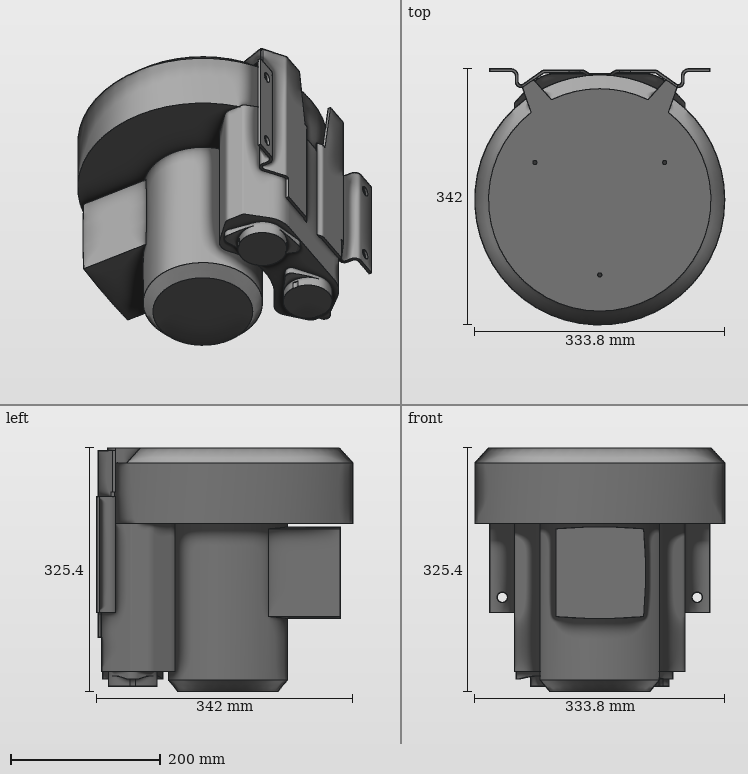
import cadquery as cq
import math


drum_radius = 166.9
drum_height = 101.0
drum_bevel_height = 20.0
drum_bevel_width = 18.5
drum_top_radius = drum_radius - drum_bevel_width
screw_hole_diameter = 5.5
screw_hole_depth = 10.0
screw_circle_radius = 100.0
screw_count = 3

total_height = 325.4
motor_radius = 79.6
motor_bevel_height = 15.7
motor_bevel_width = 13.0

box_size = 117.0
box_bulge = 2.6
box_front_y = -150.0
box_center_z = -166.6

housing_bottom_z = -298.6
housing_half_width = 114.0
port_x = 60.0
port_y = 127.0
housing_back_y = 168.4
back_corner_radius = housing_back_y - port_y
side_back_round = 5.0
side_front_round = 12.0
lobe_x = 72.4
lobe_y = 89.7
lobe_radius = 19.0
front_wall_turn = math.radians(47.6)
back_wall_turn = math.pi / 2 - front_wall_turn

flange_thickness = 10.0
spigot_radius = 32.6
spigot_bottom_z = -318.4
ear_distance = 43.3
ear_radius = 8.3
recess_radius = 48.0
recess_depth = 4.4
bolt_clearance_radius = 11.5
left_ear_angle = 180.0
right_ear_angle = -47.5

lug_outer_end = (-103.3, 150.2)
lug_inner_end = (-88.3, 160.4)
lug_outer_root_angle = 128.1
lug_inner_root_angle = 115.7
lug_thickness = drum_bevel_height

sheet_thickness = 3.8
foot_bend_radius = 8.0
bend_radius = 6.0
overall_depth = 342.0
bracket_back_y = overall_depth - drum_radius
foot_end_x = -147.0
leg_x = -110.7
leg_corner_y = 146.2
shoulder_x = -75.0
plate_y = 171.4
hook_bend_x = -22.0
hook_end = (-14.5, 166.6)
bracket_top_z = -3.7
bracket_bottom_z = -252.8
foot_top_z = -65.0
foot_bottom_z = -219.8
tab_bottom_z = -59.0
tab_side_x = -104.0
relief_x = -100.0
lower_plate_side_x = -70.0
tab_inner_top_x = -41.0
tab_inner_bottom_x = -26.5
hook_top_z = -87.0
foot_hole_diameter = 13.5
foot_hole_x = -130.0
foot_hole_spacing = 114.0


def polar(radius, degrees):
    angle = math.radians(degrees)
    return (radius * math.cos(angle), radius * math.sin(angle))


def cylinder(radius, top_z, bottom_z, x=0.0):
    return cq.Workplane("XY", origin=(x, 0, bottom_z)).circle(radius).extrude(top_z - bottom_z)


def mirrored(body):
    return body.mirror("YZ")


def make_drum():
    profile = [
        (0, 0),
        (drum_top_radius, 0),
        (drum_radius, -drum_bevel_height),
        (drum_radius, -drum_height),
        (0, -drum_height),
    ]
    return cq.Workplane("XZ").polyline(profile).close().revolve(360, (0, 0), (0, 1))


def make_screw_holes():
    return (
        cq.Workplane("XY")
        .polarArray(screw_circle_radius, -90, 360, screw_count)
        .circle(screw_hole_diameter / 2)
        .extrude(-screw_hole_depth)
    )


def make_motor():
    motor = cylinder(motor_radius, -drum_height, -total_height)
    return motor.faces("<Z").chamfer(motor_bevel_height, motor_bevel_width)


def make_terminal_box():
    """Box with a flat left side; its top, bottom and right side are slightly bowed."""
    half = box_size / 2
    bowed = half + box_bulge
    return (
        cq.Workplane("XZ", origin=(0, 0, box_center_z))
        .moveTo(-half, -half)
        .threePointArc((0, -bowed), (half, -half))
        .threePointArc((bowed, 0), (half, half))
        .threePointArc((0, bowed), (-half, half))
        .close()
        .extrude(-box_front_y)
    )


def make_housing():
    """Both silencers in one body, hollowed at the front to clear the motor."""
    arc_end = (
        -port_x - back_corner_radius * math.cos(back_wall_turn),
        port_y + back_corner_radius * math.sin(back_wall_turn),
    )
    arc_middle_angle = (back_wall_turn + math.pi / 2) / 2
    arc_middle = (
        -port_x - back_corner_radius * math.cos(arc_middle_angle),
        port_y + back_corner_radius * math.sin(arc_middle_angle),
    )
    side_back_y = arc_end[1] - (housing_half_width + arc_end[0]) / math.tan(back_wall_turn)
    face_end = (
        -lobe_x - lobe_radius * math.cos(front_wall_turn),
        lobe_y - lobe_radius * math.sin(front_wall_turn),
    )
    side_front_y = face_end[1] + (housing_half_width + face_end[0]) / math.tan(front_wall_turn)
    lobe_distance = math.hypot(lobe_x, lobe_y)
    hollow_radius = lobe_distance - lobe_radius
    hollow_middle_angle = 110
    hollow_start = (
        -lobe_x * hollow_radius / lobe_distance,
        lobe_y * hollow_radius / lobe_distance,
    )

    left_half = (
        cq.Workplane("XY", origin=(0, 0, housing_bottom_z))
        .moveTo(0, housing_back_y)
        .lineTo(-port_x, housing_back_y)
        .threePointArc(arc_middle, arc_end)
        .lineTo(-housing_half_width, side_back_y)
        .lineTo(-housing_half_width, side_front_y)
        .lineTo(*face_end)
        .threePointArc((-lobe_x, lobe_y - lobe_radius), hollow_start)
        .threePointArc(polar(hollow_radius, hollow_middle_angle), (0, hollow_radius))
        .close()
        .extrude(-drum_height - housing_bottom_z)
    )
    left_half = left_half.faces("<X").edges("|Z").edges(">Y").fillet(side_back_round)
    left_half = left_half.faces("<X").edges("|Z").edges("<Y").fillet(side_front_round)
    return left_half.union(mirrored(left_half))


def make_port(x, ear_angle):
    """Spigot with a two-eared flange, dished around the spigot."""
    flange_bottom_z = housing_bottom_z - flange_thickness
    tangent = math.acos((spigot_radius - ear_radius) / ear_distance)
    side_x = math.cos(tangent)
    side_y = math.sin(tangent)
    center_x = spigot_radius * side_x
    center_y = spigot_radius * side_y
    ear_x = ear_distance + ear_radius * side_x
    ear_y = ear_radius * side_y
    ear_tip = ear_distance + ear_radius
    flange = (
        cq.Workplane("XY", origin=(0, 0, flange_bottom_z))
        .moveTo(ear_x, -ear_y)
        .threePointArc((ear_tip, 0), (ear_x, ear_y))
        .lineTo(center_x, center_y)
        .threePointArc((0, spigot_radius), (-center_x, center_y))
        .lineTo(-ear_x, ear_y)
        .threePointArc((-ear_tip, 0), (-ear_x, -ear_y))
        .lineTo(-center_x, -center_y)
        .threePointArc((0, -spigot_radius), (center_x, -center_y))
        .close()
        .extrude(flange_thickness)
    )
    dish = (
        cq.Workplane("XY", origin=(0, 0, flange_bottom_z))
        .circle(recess_radius)
        .workplane(offset=recess_depth)
        .circle(spigot_radius)
        .loft()
    )
    spigot = cylinder(spigot_radius, housing_bottom_z, spigot_bottom_z)
    for side in (-1, 1):
        spigot = spigot.cut(
            cylinder(bolt_clearance_radius, flange_bottom_z, spigot_bottom_z, side * ear_distance)
        )
    port = flange.cut(dish).union(spigot)
    return port.rotate((0, 0, 0), (0, 0, 1), ear_angle).translate((x, port_y, 0))


def make_lug():
    outline = [
        (0, 0),
        polar(drum_top_radius, lug_outer_root_angle),
        lug_outer_end,
        lug_inner_end,
        polar(drum_top_radius, lug_inner_root_angle),
    ]
    return cq.Workplane("XY").polyline(outline).close().extrude(-lug_thickness)


def make_bracket():
    """Bent sheet, trimmed to its outline as seen along Y."""
    foot_y = bracket_back_y - sheet_thickness / 2
    height = bracket_top_z - bracket_bottom_z
    middle_z = (bracket_top_z + bracket_bottom_z) / 2
    bends = [
        (foot_end_x, foot_y),
        (leg_x, foot_y),
        (leg_x, leg_corner_y),
        (shoulder_x, plate_y),
        (hook_bend_x, plate_y),
        hook_end,
    ]
    path = cq.Wire.makePolygon([cq.Vector(x, y, middle_z) for x, y in bends])
    path = path.fillet(bend_radius, path.Vertices()[2:-1])
    path = path.fillet(foot_bend_radius, path.Vertices()[1:2])
    sheet = (
        cq.Workplane("YZ", origin=(foot_end_x, foot_y, middle_z))
        .rect(sheet_thickness, height)
        .sweep(cq.Workplane(path))
    )
    beyond_hook_x = 0.0
    outline = [
        (foot_end_x, foot_bottom_z),
        (foot_end_x, foot_top_z),
        (relief_x, foot_top_z),
        (relief_x, tab_bottom_z),
        (tab_side_x, tab_bottom_z),
        (tab_side_x, bracket_top_z),
        (tab_inner_top_x, bracket_top_z),
        (tab_inner_bottom_x, hook_top_z),
        (beyond_hook_x, hook_top_z),
        (beyond_hook_x, bracket_bottom_z),
        (lower_plate_side_x, bracket_bottom_z),
        (lower_plate_side_x, foot_bottom_z),
    ]
    blank = cq.Workplane("XZ").polyline(outline).close().extrude(-2 * bracket_back_y)
    foot_middle_z = (foot_top_z + foot_bottom_z) / 2
    holes = (
        cq.Workplane("XZ", origin=(foot_hole_x, 0, foot_middle_z))
        .rarray(1, foot_hole_spacing, 1, 2)
        .circle(foot_hole_diameter / 2)
        .extrude(-2 * bracket_back_y)
    )
    return sheet.intersect(blank).cut(holes)


lug = make_lug()
bracket = make_bracket()
result = make_drum().cut(make_screw_holes())
result = result.union(make_motor()).union(make_terminal_box()).union(make_housing())
result = result.union(make_port(-port_x, left_ear_angle)).union(make_port(port_x, right_ear_angle))
result = result.union(lug).union(mirrored(lug))
result = result.union(bracket).union(mirrored(bracket))